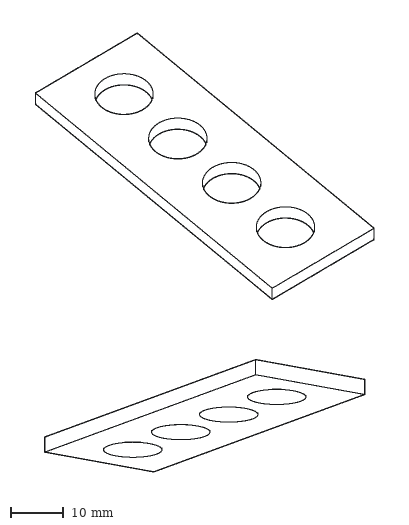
import cadquery as cq

plate_length = 69.85
plate_width = 25.4
plate_thickness = 3.0

hole_count = 4
hole_diameter = 11.1125
hole_pitch = 15.875


def make_plate():
    """Plain plate centred on the origin."""
    return cq.Workplane("XY").box(plate_length, plate_width, plate_thickness)


def cut_hole_row(plate):
    """Drill the row of equally spaced holes along the X centreline."""
    return (
        plate.faces(">Z")
        .workplane()
        .rarray(hole_pitch, plate_width, hole_count, 1)
        .hole(hole_diameter)
    )


result = cut_hole_row(make_plate())